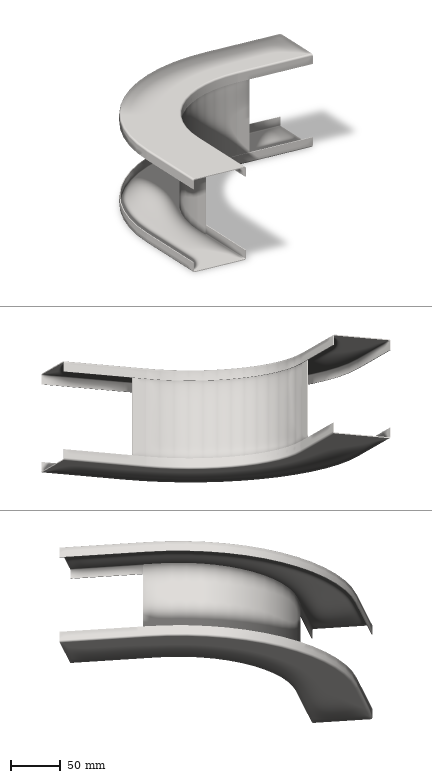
import cadquery as cq


channel_width = 63.0
channel_depth = 11.0
sheet = 1.0
fold_inner_radius = 1.0
fold_outer_radius = fold_inner_radius + sheet

bend_outer_radius = 183.75
bend_inner_radius = bend_outer_radius - channel_width
channel_straight = 90.0

total_height = 103.0
wall_sheet = fold_inner_radius
wall_straight = 15.0
wall_outer_radius = bend_inner_radius + sheet + wall_sheet


def channel_section():
    """U-shaped sheet section on the end plane of one straight run, open upward."""
    left = -bend_outer_radius
    right = -bend_inner_radius
    return (
        cq.Workplane("XZ", origin=(0, channel_straight, 0))
        .moveTo(left, channel_depth)
        .lineTo(left, fold_outer_radius)
        .radiusArc((left + fold_outer_radius, 0), -fold_outer_radius)
        .lineTo(right - fold_outer_radius, 0)
        .radiusArc((right, fold_outer_radius), -fold_outer_radius)
        .lineTo(right, channel_depth)
        .lineTo(right - sheet, channel_depth)
        .lineTo(right - sheet, fold_outer_radius)
        .radiusArc((right - fold_outer_radius, sheet), fold_inner_radius)
        .lineTo(left + fold_outer_radius, sheet)
        .radiusArc((left + sheet, fold_outer_radius), fold_inner_radius)
        .lineTo(left + sheet, channel_depth)
        .close()
    )


def bend_path(radius, straight):
    """Straight run, quarter bend and straight run at the given radius."""
    return (
        cq.Workplane("XY")
        .moveTo(-radius, straight)
        .lineTo(-radius, 0)
        .radiusArc((0, -radius), -radius)
        .lineTo(straight, -radius)
    )


def make_channel():
    """Channel resting on Z = 0 with its flanges pointing up."""
    return channel_section().sweep(bend_path(bend_outer_radius, channel_straight))


def wall_section():
    """Wall sheet from floor to floor, its back edges rounded to seat in the inner channel folds."""
    front = -wall_outer_radius
    back = front + wall_sheet
    bottom = sheet
    top = total_height - sheet
    return (
        cq.Workplane("XZ", origin=(0, wall_straight, 0))
        .moveTo(front, bottom)
        .radiusArc((back, bottom + fold_inner_radius), -fold_inner_radius)
        .lineTo(back, top - fold_inner_radius)
        .radiusArc((front, top), -fold_inner_radius)
        .close()
    )


def make_wall():
    """Thin upright wall standing against the inner flanges of both channels."""
    return wall_section().sweep(bend_path(wall_outer_radius, wall_straight))


lower_channel = make_channel()
upper_channel = lower_channel.mirror("XY", (0, 0, total_height / 2))
wall = make_wall()

result = cq.Compound.makeCompound([lower_channel.val(), upper_channel.val(), wall.val()])